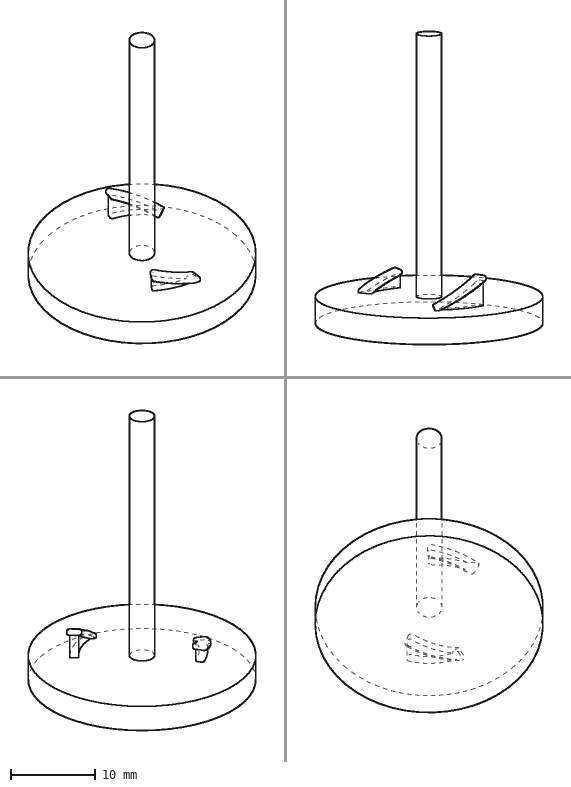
import cadquery as cq
import math

total_height = 34.92
disc_diameter = 27.0
disc_thickness = 3.2
shaft_diameter = 3.0

cap_width = 1.8
cap_thickness = 0.77
cap_edge_radius = 0.35
web_width = 1.05
web_setback = 0.07
web_corner_radius = 0.28
web_depth = 4.9
guide_overrun = 30.0

tall_radius = 8.03
tall_low_angle = 109.7
tall_sweep = 45.8
tall_low_height = 0.07
tall_high_height = 3.45

short_radius = 10.23
short_center = (-1.92, 2.62)
short_low_angle = -14.5
short_sweep = 33.2
short_low_height = 0.0
short_high_height = 2.0


def helical_bar(radius, sweep, rise, width, bottom, top):
    """Sweep a rectangle up a helix starting at angle zero and height zero."""
    pitch = rise * 360 / sweep
    helix = cq.Wire.makeHelix(pitch, rise, radius)
    tangent = cq.Vector(0, 2 * math.pi * radius, pitch)
    section = cq.Workplane(cq.Plane((radius, 0, 0), (1, 0, 0), tangent))
    section = section.center(0, -(bottom + top) / 2).rect(width, top - bottom)
    return section.sweep(cq.Workplane(obj=helix), isFrenet=True)


def make_cap(radius, sweep, rise, round_low_end):
    """Helical cap with rounded long edges and one or both ends rounded."""
    half = cap_thickness / 2
    bar = helical_bar(radius, sweep, rise, cap_width, -half, half)
    edges = bar.edges().vals()
    if not round_low_end:
        edges = [edge for edge in edges if edge.Length() > 2 * cap_width or edge.Center().y > cap_width]
    return bar.newObject(edges).fillet(cap_edge_radius)


def point_at(radius, angle, height):
    turn = math.radians(angle)
    return (radius * math.cos(turn), radius * math.sin(turn), height)


def make_web(radius, sweep, rise, low_height):
    """Upright curved web whose top follows the middle of the cap."""
    inner = radius - web_width / 2
    outer = radius + web_width / 2
    end = sweep - math.degrees(web_setback / radius)
    footprint = (
        cq.Workplane("XY", origin=(0, 0, -low_height - cap_thickness))
        .moveTo(inner, 0)
        .lineTo(outer, 0)
        .threePointArc(point_at(outer, end / 2, 0)[:2], point_at(outer, end, 0)[:2])
        .lineTo(*point_at(inner, end, 0)[:2])
        .threePointArc(point_at(inner, end / 2, 0)[:2], (inner, 0))
        .close()
        .extrude(rise + cap_thickness + web_depth)
    )
    high_corners = [edge for edge in footprint.edges("|Z").vals() if edge.Center().y > web_width]
    footprint = footprint.newObject(high_corners).fillet(web_corner_radius)
    slope = rise / sweep
    long_sweep = sweep + 2 * guide_overrun
    guide = helical_bar(radius, long_sweep, slope * long_sweep, cap_width, -web_depth, 0)
    guide = guide.rotate((0, 0, 0), (0, 0, 1), -guide_overrun)
    guide = guide.translate((0, 0, -slope * guide_overrun))
    return footprint.intersect(guide)


def make_ramp(radius, sweep, low_height, high_height, round_low_end):
    """Ramp starting at angle zero and rising counterclockwise from the disc top."""
    rise = high_height - low_height
    cap = make_cap(radius, sweep, rise, round_low_end)
    ramp = cap.union(make_web(radius, sweep, rise, low_height))
    return ramp.translate((0, 0, disc_thickness + low_height))


disc = cq.Workplane("XY").circle(disc_diameter / 2).extrude(disc_thickness)
shaft = cq.Workplane("XY").circle(shaft_diameter / 2).extrude(total_height)

tall_ramp = make_ramp(tall_radius, tall_sweep, tall_low_height, tall_high_height, False)
tall_ramp = tall_ramp.rotate((0, 0, 0), (0, 0, 1), tall_low_angle)

short_ramp = make_ramp(short_radius, short_sweep, short_low_height, short_high_height, True)
short_ramp = short_ramp.mirror("XZ").rotate((0, 0, 0), (0, 0, 1), short_low_angle)
short_ramp = short_ramp.translate((*short_center, 0))

result = disc.union(shaft).union(tall_ramp).union(short_ramp)